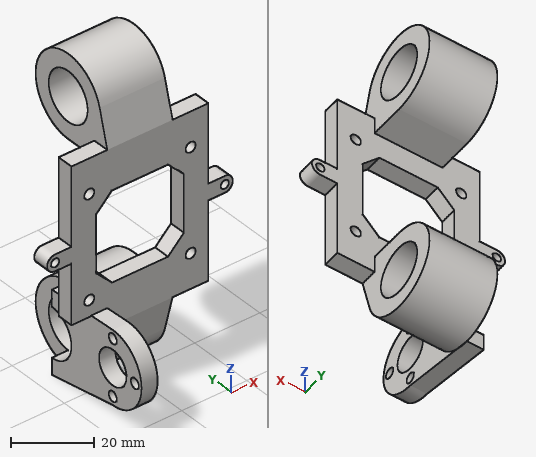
import cadquery as cq
import math

thickness = 5.0
plate_width = 42.0
hole_offset = 15.55
hole_diameter = 3.0
window_size = 27.0
window_chamfer = 4.9
notch_top = -20.5

tube_length = 20.1
tube_radius = 12.5
bore_radius = 7.45
tube_y = 15.0
tube_z = 46 - tube_radius
plate_half_height = tube_z - bore_radius

ear_radius = 2.5
ear_hole_diameter = 2.5
ear_x = 28.5 - ear_radius

arm_radius = 11
arm_y = arm_radius - 19.3
arm_z = -31.0
arm_bore_diameter = 10.5
arm_hole_offset = 8.5
arm_right = -tube_length / 2
arm_left = arm_right - thickness


def along_y(x, z, radius):
    """Cylinder through the plate thickness."""
    return cq.Workplane("XZ").center(x, z).circle(radius).extrude(-thickness)


def make_plate():
    plate = cq.Workplane("XY").box(
        plate_width, thickness, 2 * plate_half_height, centered=(True, False, True)
    )
    window = (
        cq.Workplane("XY")
        .box(window_size, thickness, window_size, centered=(True, False, True))
        .edges("|Y")
        .chamfer(window_chamfer)
    )
    plate = plate.cut(window)
    for x in (-hole_offset, hole_offset):
        for z in (-hole_offset, hole_offset):
            plate = plate.cut(along_y(x, z, hole_diameter / 2))

    notch = (
        cq.Workplane("XZ")
        .moveTo(-plate_width / 2, -plate_half_height)
        .lineTo(arm_left, -plate_half_height)
        .lineTo(arm_left, notch_top)
        .lineTo(-plate_width / 2, notch_top)
        .close()
        .extrude(-thickness)
    )
    return plate.cut(notch)


def make_ear(side):
    inner_x = plate_width / 2
    bar_length = ear_x - inner_x
    bar = (
        cq.Workplane("XZ")
        .center(side * (inner_x + bar_length / 2), 0)
        .rect(bar_length, 2 * ear_radius)
        .extrude(-thickness)
    )
    ear = bar.union(along_y(side * ear_x, 0, ear_radius))
    return ear.cut(along_y(side * ear_x, 0, ear_hole_diameter / 2))


def make_upper_tube():
    dy = -tube_y
    dz = plate_half_height - tube_z
    corner_angle = math.atan2(dz, dy)
    tangent_angle = corner_angle - math.acos(tube_radius / math.hypot(dy, dz))
    tangent = (
        tube_y + tube_radius * math.cos(tangent_angle),
        tube_z + tube_radius * math.sin(tangent_angle),
    )
    return (
        cq.Workplane("YZ", origin=(-tube_length / 2, 0, 0))
        .moveTo(0, plate_half_height)
        .lineTo(*tangent)
        .threePointArc((tube_y + tube_radius, tube_z), (tube_y, tube_z - tube_radius))
        .lineTo(thickness, tube_z - tube_radius)
        .lineTo(thickness, plate_half_height)
        .close()
        .extrude(tube_length)
    )


def make_arm():
    arm = (
        cq.Workplane("YZ", origin=(arm_left, 0, 0))
        .moveTo(tube_y, -tube_z - tube_radius)
        .lineTo(tube_y, -tube_z + tube_radius)
        .lineTo(arm_y, arm_z + arm_radius)
        .threePointArc((arm_y - arm_radius, arm_z), (arm_y, arm_z - arm_radius))
        .close()
        .extrude(thickness)
    )
    bore = (
        cq.Workplane("YZ", origin=(arm_left, arm_y, arm_z))
        .circle(arm_bore_diameter / 2)
        .extrude(thickness)
    )
    screw_holes = (
        cq.Workplane("YZ", origin=(arm_left, arm_y, arm_z))
        .pushPoints([(0, arm_hole_offset), (-arm_hole_offset, 0), (0, -arm_hole_offset)])
        .circle(hole_diameter / 2)
        .extrude(thickness)
    )
    return arm.cut(bore).cut(screw_holes)


def make_tube_bores():
    return (
        cq.Workplane("YZ", origin=(arm_left, 0, 0))
        .pushPoints([(tube_y, tube_z), (tube_y, -tube_z)])
        .circle(bore_radius)
        .extrude(thickness + tube_length)
    )


upper_tube = make_upper_tube()
result = make_plate().union(upper_tube).union(upper_tube.mirror("XY")).union(make_arm())
for ear_side in (-1, 1):
    result = result.union(make_ear(ear_side))
result = result.cut(make_tube_bores())